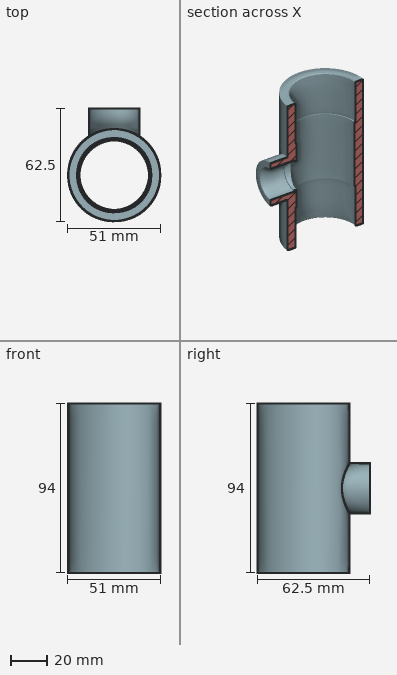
import cadquery as cq

length = 94.0
main_diameter = 51.0
main_bore = 38.5
main_socket = 40.0
main_mouth = 41.1
main_socket_depth = 26.0

overall_depth = 62.5
branch_reach = overall_depth - main_diameter / 2
branch_diameter = 28.0
branch_bore = 18.5
branch_socket = 20.0
branch_socket_depth = 16.0

mouth_chamfer = (main_mouth - main_socket) / 2


def main_rod(diameter, height):
    """Vertical cylinder centred on the origin."""
    return cq.Workplane("XY").circle(diameter / 2).extrude(height / 2, both=True)


def branch_rod(diameter, start, end):
    """Cylinder along +Y between two distances from the main axis."""
    plane = cq.Workplane("XZ", origin=(0, start, 0))
    return plane.circle(diameter / 2).extrude(start - end)


def main_socket_cutter(end):
    """Socket with a chamfered mouth at the top (end = 1) or bottom (end = -1)."""
    face = end * length / 2
    profile = [
        (0, face),
        (main_mouth / 2, face),
        (main_socket / 2, face - end * mouth_chamfer),
        (main_socket / 2, face - end * main_socket_depth),
        (0, face - end * main_socket_depth),
    ]
    return cq.Workplane("XZ").polyline(profile).close().revolve(360, (0, 0), (0, 1))


result = main_rod(main_diameter, length).union(branch_rod(branch_diameter, 0, branch_reach))

result = result.cut(main_rod(main_bore, length))
for end in (1, -1):
    result = result.cut(main_socket_cutter(end))

result = result.cut(branch_rod(branch_bore, 0, branch_reach))
result = result.cut(branch_rod(branch_socket, branch_reach - branch_socket_depth, branch_reach))